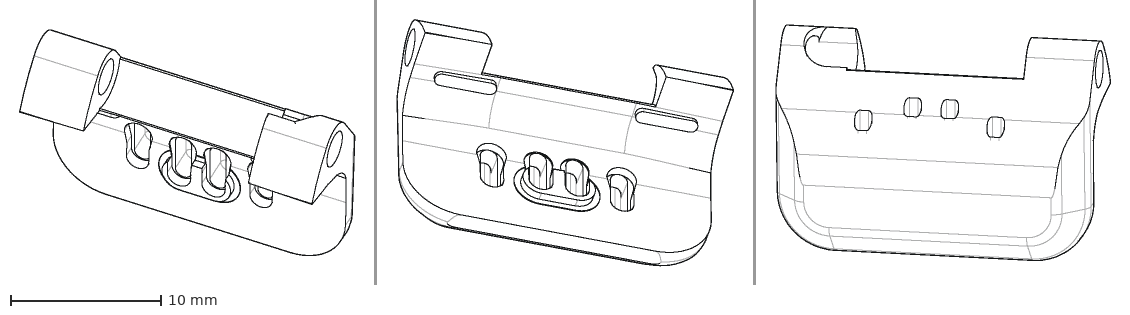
import cadquery as cq
import math

LENGTH = 21.32
HALF_LENGTH = LENGTH / 2
HEIGHT = 14.52
BACK_Y = 4.99
TIP_Y = -3.69

HINGE_RADIUS = 1.88
PIN_DIAMETER = 2.5
PIN_RADIUS = PIN_DIAMETER / 2
PIN_Z = HEIGHT - HINGE_RADIUS
GAP_HALF_WIDTH = 6.01
CLEARANCE_RADIUS = 2.25
LIP_Y = -1.05
WALL_TOP_Z = 12.3
SLOPE_ANGLE = 31.0
NOSE_ANGLE = 136.0
NOSE_BULGE = (-2.58, 12.6)
TIP_Z = 10.85

BACK_TOP_Z = 7.04
BACK_BEND = (4.67, 8.57)
SLOPE_FOOT = (3.97, 9.85)
FACE_TILT = 3.4
FACE_BOTTOM_Y = 1.51
FACE_BREAK_Z = 5.95
FACE_TOP_Y = FACE_BOTTOM_Y + FACE_BREAK_Z * math.tan(math.radians(FACE_TILT))
CORNER_RADIUS = 3.95
RIM_BACK_Y = 4.7
RIM_CHAMFER = 1.85
RIM_FILLET = 0.95

HOLLOW_ROOT_Y = FACE_TOP_Y + 0.02
HOLLOW_HALF_WIDTH = 4.7
HOLLOW_EASE_X = 8.1
FRONT_LIMIT_Y = -5.12
MIDDLE_HOLLOW = {"root_z": 8.17, "bend": (1.35, 9.57), "crown_z": 10.2, "edge_z": 10.5, "tip_z": 10.92}
EASE_HOLLOW = {"root_z": 7.8, "bend": (1.35, 9.4), "crown_z": 10.06, "edge_z": 10.38, "tip_z": 10.85}
END_HOLLOW = {"root_z": 6.82, "bend": (1.4, 9.08), "crown_z": 9.98, "edge_z": 10.3, "tip_z": 10.79}

BOSS_LENGTH = 5.0
BOSS_HEIGHT = 2.52
BOSS_Z = 4.18
BOSS_RISE = 0.51
RECESS_MARGIN = 0.47
RECESS_DEPTH = 0.06

INNER_SLOT_X = 1.25
OUTER_SLOT_X = 4.5
SLOT_TOP_Z = 7.16
CORE_WIDTH = 1.17
CORE_FILLET = 0.3
CORE_END_GAP = 0.1
TUNNEL_HEIGHT = 0.7
INNER_SLOT = {"width": 1.68, "head": 1.98, "bottom": 3.33, "ledge_y": 1.98, "floor_y": 4.03}
OUTER_SLOT = {"width": 1.62, "head": 2.05, "bottom": 3.2, "ledge_y": 2.55, "floor_y": 4.58}

ENTRY_LOW_ANGLE = 24.0
ENTRY_HIGH_ANGLE = 61.0
ENTRY_END_X = 9.1
ENTRY_END_RADIUS = 1.7
ENTRY_REACH = 3 * HINGE_RADIUS

PAD_LENGTH = 4.26
PAD_WIDTH = 0.9
PAD_RISE = 0.21
PAD_ROOT = 0.32
PAD_X = 6.95
PAD_Y = -0.47
PAD_Z = 10.06
PAD_TILT = 17.0


def step(start, distance, angle):
    """Point (Y, Z) at a distance from another, with the angle in degrees from +Y towards +Z."""
    turn = math.radians(angle)
    return start[0] + distance * math.cos(turn), start[1] + distance * math.sin(turn)


def around_pin(radius, angle):
    """Point (Y, Z) at a radius and an angle about the pin axis."""
    return step((0, PIN_Z), radius, angle)


def extrude_x(sketch, half_length):
    """Extrude a YZ sketch equally to both sides of the middle of the part."""
    return sketch.extrude(half_length, both=True)


def outer_section():
    """Body with the final outside shape in YZ, its front still filled in."""
    sketch = (
        cq.Workplane("YZ")
        .moveTo(TIP_Y, 0)
        .lineTo(BACK_Y, 0)
        .lineTo(BACK_Y, BACK_TOP_Z)
        .threePointArc(BACK_BEND, SLOPE_FOOT)
        .lineTo(*around_pin(HINGE_RADIUS, SLOPE_ANGLE))
        .threePointArc(around_pin(HINGE_RADIUS, 90), around_pin(HINGE_RADIUS, NOSE_ANGLE))
        .threePointArc(NOSE_BULGE, (TIP_Y, TIP_Z))
        .close()
    )
    return extrude_x(sketch, HALF_LENGTH)


def lean(body):
    """Tilt a body to match the front face of the plate."""
    return body.rotate((0, FACE_BOTTOM_Y, 0), (1, FACE_BOTTOM_Y, 0), -FACE_TILT)


def rim_envelope():
    """Leaning block with rounded lower corners and a chamfered, softened rim on its back."""
    depth = RIM_BACK_Y - FRONT_LIMIT_Y
    rim_edge_y = RIM_BACK_Y - RIM_CHAMFER
    block = (
        cq.Workplane("XY")
        .box(LENGTH, depth, 2 * HEIGHT, centered=(True, False, False))
        .translate((0, FRONT_LIMIT_Y, 0))
        .edges("|Y and <Z")
        .fillet(CORNER_RADIUS)
        .faces(">Y")
        .edges("not >Z")
        .chamfer(RIM_CHAMFER)
    )
    back_rim = block.faces(">Y").edges("not >Z")
    side_rim = block.edges().filter(lambda edge: abs(edge.Center().y - rim_edge_y) < 0.002)
    block = back_rim.add(side_rim).fillet(RIM_FILLET)
    return lean(block)


def hollow_section(plane, root_z, bend, crown_z, edge_z, tip_z):
    """Closed section of the space below the hinge, on a YZ workplane."""
    return (
        plane.moveTo(HOLLOW_ROOT_Y, root_z)
        .threePointArc(bend, (0, crown_z))
        .lineTo(LIP_Y, edge_z)
        .lineTo(TIP_Y, tip_z)
        .lineTo(FRONT_LIMIT_Y, tip_z)
        .lineTo(FRONT_LIMIT_Y, 0)
        .lineTo(HOLLOW_ROOT_Y, 0)
        .close()
    )


def front_hollow():
    """Open space ahead of the plate face and below the hinge."""
    ahead_of_face = extrude_x(
        cq.Workplane("YZ").polyline(
            [
                (FRONT_LIMIT_Y, 0),
                (FACE_BOTTOM_Y, 0),
                (FACE_TOP_Y, FACE_BREAK_Z),
                (FACE_TOP_Y, HEIGHT),
                (FRONT_LIMIT_Y, HEIGHT),
            ]
        ).close(),
        HALF_LENGTH,
    )
    below_hinge = extrude_x(hollow_section(cq.Workplane("YZ"), **MIDDLE_HOLLOW), HOLLOW_HALF_WIDTH)
    sections = hollow_section(cq.Workplane("YZ", origin=(HOLLOW_HALF_WIDTH, 0, 0)), **MIDDLE_HOLLOW)
    sections = hollow_section(sections.workplane(offset=HOLLOW_EASE_X - HOLLOW_HALF_WIDTH), **EASE_HOLLOW)
    sections = hollow_section(sections.workplane(offset=HALF_LENGTH - HOLLOW_EASE_X), **END_HOLLOW)
    flank = sections.loft()
    below_hinge = below_hinge.union(flank).union(flank.mirror("YZ"))
    return ahead_of_face.intersect(below_hinge)


def clearance_gap():
    """Gap between the knuckles, bounded below by a cylinder about the pin axis."""
    gap = extrude_x(cq.Workplane("YZ").moveTo(0, PIN_Z).circle(CLEARANCE_RADIUS), GAP_HALF_WIDTH)
    above = (
        cq.Workplane("XY")
        .box(2 * GAP_HALF_WIDTH, HEIGHT, HEIGHT, centered=(True, True, False))
        .translate((0, 0, WALL_TOP_Z))
    )
    ahead = (
        cq.Workplane("XY")
        .box(2 * GAP_HALF_WIDTH, HEIGHT, HEIGHT, centered=(True, False, True))
        .translate((0, LIP_Y - HEIGHT, PIN_Z))
    )
    return gap.union(above).union(ahead)


def pin_entry():
    """Flared opening in the +X knuckle that runs from its inner face and ends in a round."""
    low_contact = around_pin(PIN_RADIUS, ENTRY_LOW_ANGLE - 90)
    high_contact = around_pin(PIN_RADIUS, ENTRY_HIGH_ANGLE + 90)
    low_end = step(low_contact, ENTRY_REACH, ENTRY_LOW_ANGLE)
    high_end = step(high_contact, ENTRY_REACH, ENTRY_HIGH_ANGLE)
    flare = (
        cq.Workplane("YZ", origin=(GAP_HALF_WIDTH, 0, 0))
        .polyline([(0, PIN_Z), low_contact, low_end, high_end, high_contact])
        .close()
        .extrude(ENTRY_END_X - GAP_HALF_WIDTH)
    )
    middle = math.radians((ENTRY_LOW_ANGLE + ENTRY_HIGH_ANGLE) / 2)
    direction = cq.Plane(
        origin=(0, 0, PIN_Z),
        xDir=(1, 0, 0),
        normal=(0, math.cos(middle), math.sin(middle)),
    )
    rounded = (
        cq.Workplane(direction)
        .workplane(offset=-ENTRY_REACH)
        .slot2D(2 * ENTRY_END_X, 2 * ENTRY_END_RADIUS)
        .extrude(2 * ENTRY_REACH)
    )
    return flare.intersect(rounded)


def stadium(length, height, back_y, front_y):
    """Stadium lying along X at the boss height, from one Y to another further forward."""
    return (
        cq.Workplane("XZ", origin=(0, back_y, BOSS_Z))
        .slot2D(length, height)
        .extrude(back_y - front_y)
    )


def keyhole_slot(x, width, head, bottom, ledge_y, floor_y):
    """Keyhole recess with a narrower core that leaves upwards through the back of the plate."""
    front_y = FACE_BOTTOM_Y - 2 * BOSS_RISE
    head_z = SLOT_TOP_Z - head / 2
    foot_z = bottom + width / 2
    mouth = cq.Workplane("XZ", origin=(x, ledge_y, 0))
    recess = (
        mouth.moveTo(-head / 2, head_z)
        .threePointArc((0, SLOT_TOP_Z), (head / 2, head_z))
        .lineTo(width / 2, head_z - head / 2)
        .lineTo(width / 2, foot_z)
        .threePointArc((0, bottom), (-width / 2, foot_z))
        .lineTo(-width / 2, head_z - head / 2)
        .close()
        .extrude(ledge_y - front_y)
    )
    core_bottom = bottom + CORE_END_GAP
    core = (
        cq.Workplane("XZ", origin=(x, floor_y, (core_bottom + SLOT_TOP_Z) / 2))
        .slot2D(SLOT_TOP_Z - core_bottom, CORE_WIDTH, 90)
        .extrude(floor_y - ledge_y)
        .faces(">Y")
        .edges()
        .fillet(CORE_FILLET)
    )
    tunnel = (
        cq.Workplane("XY", origin=(x, floor_y - TUNNEL_HEIGHT / 2, bottom + CORE_WIDTH))
        .rect(CORE_WIDTH, TUNNEL_HEIGHT)
        .extrude(HEIGHT)
        .edges("|Z")
        .fillet(CORE_FILLET)
    )
    return recess.union(core).union(tunnel)


def pad(x):
    """Small raised strip on the underside of the hinge."""
    return (
        cq.Workplane("XY")
        .slot2D(PAD_LENGTH, PAD_WIDTH)
        .extrude(PAD_RISE + PAD_ROOT)
        .rotate((0, 0, 0), (1, 0, 0), -PAD_TILT)
        .translate((x, PAD_Y, PAD_Z - PAD_RISE))
    )


result = outer_section().intersect(rim_envelope()).cut(front_hollow())

recess_face_y = FACE_BOTTOM_Y + RECESS_DEPTH
recess = stadium(
    BOSS_LENGTH + 2 * RECESS_MARGIN,
    BOSS_HEIGHT + 2 * RECESS_MARGIN,
    recess_face_y,
    FACE_BOTTOM_Y - BOSS_RISE,
)
boss = stadium(BOSS_LENGTH, BOSS_HEIGHT, recess_face_y, FACE_BOTTOM_Y - BOSS_RISE)
result = result.cut(lean(recess)).union(lean(boss))

for side in (-1, 1):
    result = result.union(pad(side * PAD_X))
    result = result.cut(keyhole_slot(side * INNER_SLOT_X, **INNER_SLOT))
    result = result.cut(keyhole_slot(side * OUTER_SLOT_X, **OUTER_SLOT))

pin_hole = extrude_x(cq.Workplane("YZ").moveTo(0, PIN_Z).circle(PIN_RADIUS), LENGTH)
result = result.cut(pin_hole).cut(clearance_gap()).cut(pin_entry())